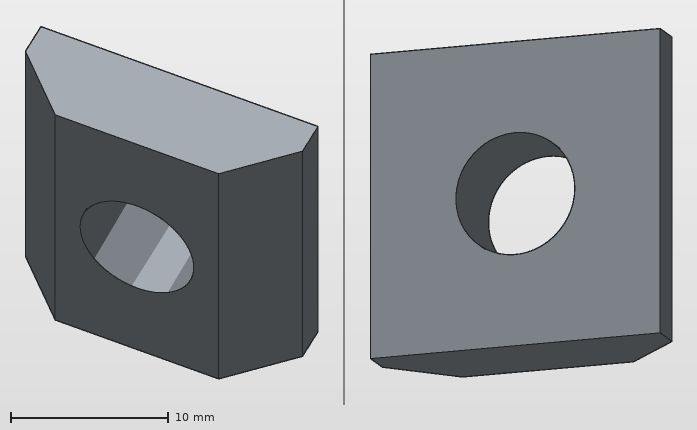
import cadquery as cq

width = 19.5
depth = 6.3
height = 20.0

bevel = 4.0
hole_diameter = 8.0

plate = cq.Workplane("XY").box(width, depth, height)
plate = plate.faces("<Y").edges("|Z").chamfer(bevel)

result = plate.faces("<Y").workplane(centerOption="CenterOfBoundBox").hole(hole_diameter)